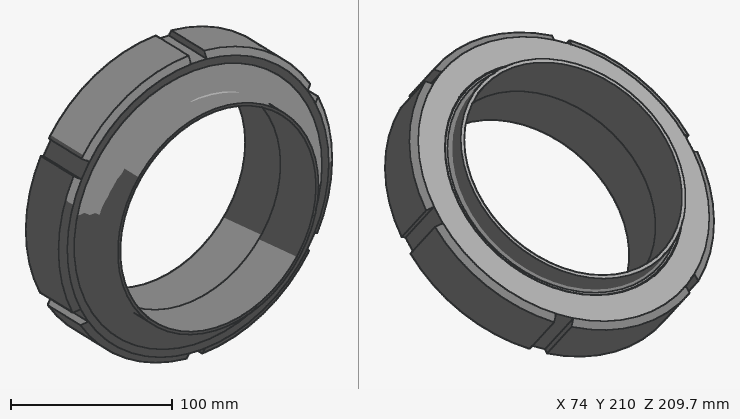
import cadquery as cq
import math


length = 74.0
bore_radius = 150.0 / 2
pipe_radius = 154.0 / 2
joint_x = 37.0

nut_start = 13.2
nut_width = 39.7
nut_end = nut_start + nut_width
nut_radius = 105.0
nut_hole_radius = 164.0 / 2
thread_radius = 190.0 / 2
chamfer_width = 2.7
chamfer_height = chamfer_width * math.sqrt(3)
shoulder_x = 23.0

slot_count = 6
slot_width = 12.0
slot_floor = 100.2
slot_turn = 0.4

liner_pipe_radius = 155.0 / 2
neck_radius = 163.0 / 2
collar_radius = 184.4 / 2
liner_fillet = 4.2
liner_fillet_height = 2.5
liner_fillet_start = 9.7

flare_start = 59.0
flare_length = 6.0


def revolve_about_x(profile):
    """Turn a profile of (x, radius) points about the X axis."""
    return profile.close().revolve(360, (0, 0, 0), (1, 0, 0))


def make_liner():
    def fillet_point(angle):
        """Point on the concave fillet, by angle turned from the pipe surface."""
        return (
            liner_fillet_start + liner_fillet * math.sin(angle),
            liner_pipe_radius + liner_fillet * (1 - math.cos(angle)),
        )

    sweep = math.acos(1 - liner_fillet_height / liner_fillet)
    fillet_end = fillet_point(sweep)
    return revolve_about_x(
        cq.Workplane("XY")
        .moveTo(0, bore_radius)
        .lineTo(0, liner_pipe_radius)
        .lineTo(liner_fillet_start, liner_pipe_radius)
        .threePointArc(fillet_point(sweep / 2), fillet_end)
        .lineTo(fillet_end[0], neck_radius)
        .lineTo(shoulder_x, neck_radius)
        .lineTo(shoulder_x, collar_radius)
        .lineTo(joint_x, collar_radius)
        .lineTo(joint_x, bore_radius)
    )


def make_male_end():
    flare_height = thread_radius - pipe_radius
    flare_end = flare_start - flare_length
    flare_middle = (
        flare_start - flare_length * math.sin(math.pi / 4),
        pipe_radius + flare_height * (1 - math.cos(math.pi / 4)),
    )
    return revolve_about_x(
        cq.Workplane("XY")
        .moveTo(joint_x, bore_radius)
        .lineTo(joint_x, thread_radius)
        .lineTo(flare_end, thread_radius)
        .spline(
            [flare_middle, (flare_start, pipe_radius)],
            tangents=[(0, -1), (1, 0)],
            includeCurrent=True,
        )
        .lineTo(length, pipe_radius)
        .lineTo(length, bore_radius)
    )


def make_nut():
    nut = revolve_about_x(
        cq.Workplane("XY")
        .moveTo(nut_start, nut_hole_radius)
        .lineTo(nut_start, nut_radius - chamfer_height)
        .lineTo(nut_start + chamfer_width, nut_radius)
        .lineTo(nut_end - chamfer_width, nut_radius)
        .lineTo(nut_end, nut_radius - chamfer_height)
        .lineTo(nut_end, thread_radius)
        .lineTo(shoulder_x, thread_radius)
        .lineTo(shoulder_x, nut_hole_radius)
    )
    cutter = cq.Workplane("XY").box(nut_width, slot_width, slot_width, centered=(False, True, False))
    cutter = cutter.translate((nut_start, 0, slot_floor))
    for index in range(slot_count):
        angle = index * 360 / slot_count - slot_turn
        nut = nut.cut(cutter.rotate((0, 0, 0), (1, 0, 0), angle))
    return nut


liner = make_liner()
male_end = make_male_end()
nut = make_nut()

result = cq.Compound.makeCompound([liner.val(), male_end.val(), nut.val()])